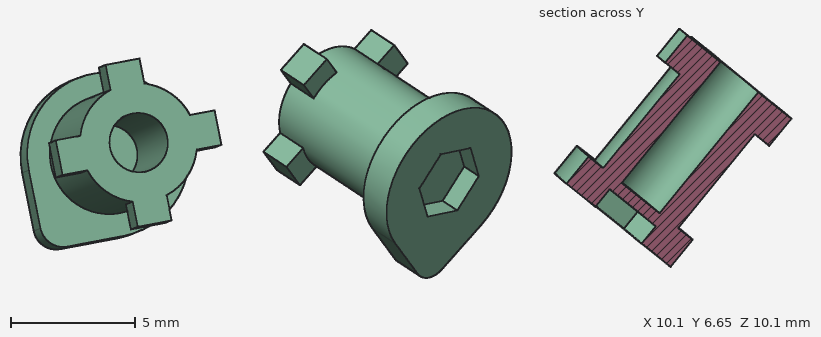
import cadquery as cq
import math

total_length = 7.7
flange_diameter = 6.65
flange_thickness = 1.42
flange_corner_radius = 0.93
barrel_diameter = 4.8
bore_diameter = 2.4
lug_width = 1.42
lug_height = 1.42
lug_span = flange_diameter
hex_across_flats = 2.82
hex_depth = 0.9
hex_turn = -15

flange_radius = flange_diameter / 2
hex_corner_diameter = hex_across_flats / math.cos(math.pi / 6)
bore_depth = total_length - flange_thickness

tilted_base = cq.Plane(origin=(0, 0, 0), xDir=(1, 0, -1), normal=(1, 0, 1))


def at_height(height):
    """Workplane square to the axis at a distance from the flange's outer face."""
    return cq.Workplane(tilted_base).workplane(offset=height)


def make_flange():
    """Round flange with one quadrant squared out to a rounded corner."""
    disc = at_height(0).circle(flange_radius).extrude(flange_thickness)
    corner = (
        at_height(0)
        .moveTo(0, 0)
        .lineTo(flange_radius, 0)
        .lineTo(flange_radius, flange_corner_radius - flange_radius)
        .radiusArc((flange_radius - flange_corner_radius, -flange_radius), flange_corner_radius)
        .lineTo(0, -flange_radius)
        .close()
        .extrude(flange_thickness)
    )
    return disc.union(corner)


def make_lugs():
    """Four lugs at the free end, made as two crossing bars."""
    start = at_height(total_length - lug_height)
    tilted_bar = start.rect(lug_span, lug_width).extrude(lug_height)
    level_bar = start.rect(lug_width, lug_span).extrude(lug_height)
    return tilted_bar.union(level_bar)


barrel = at_height(0).circle(barrel_diameter / 2).extrude(total_length)
bore = at_height(total_length).circle(bore_diameter / 2).extrude(-bore_depth)
hex_socket = (
    at_height(0)
    .transformed(rotate=(0, 0, hex_turn))
    .polygon(6, hex_corner_diameter)
    .extrude(hex_depth)
)

result = make_flange().union(barrel).union(make_lugs()).cut(bore).cut(hex_socket)